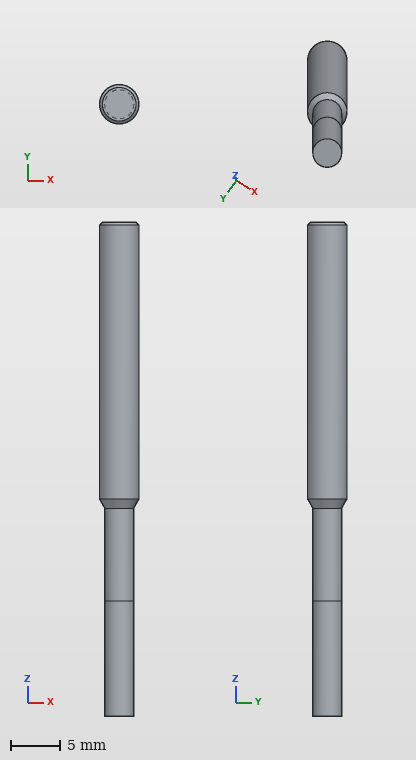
import cadquery as cq

total_length = 50.0
shank_diameter = 4.0
shank_length = 28.0

cutter_diameter = 2.94
cutter_length = 11.65

cone_length = 0.95

rear_chamfer = 0.3

shank_radius = shank_diameter / 2
cutter_radius = cutter_diameter / 2
shank_start = total_length - shank_length
cone_start = shank_start - cone_length


def make_cutter():
    """Plain cylindrical cutting end, standing on the tip plane."""
    return cq.Workplane("XY").circle(cutter_radius).extrude(cutter_length)


def make_holder():
    """Neck, transition cone and chamfered shank, revolved as one solid."""
    half_profile = [
        (0, cutter_length),
        (cutter_radius, cutter_length),
        (cutter_radius, cone_start),
        (shank_radius, shank_start),
        (shank_radius, total_length - rear_chamfer),
        (shank_radius - rear_chamfer, total_length),
        (0, total_length),
    ]
    axis_start = (0, 0, 0)
    axis_end = (0, 1, 0)
    return cq.Workplane("XZ").polyline(half_profile).close().revolve(360, axis_start, axis_end)


cutter = make_cutter()
holder = make_holder()

result = cq.Compound.makeCompound([cutter.val(), holder.val()])